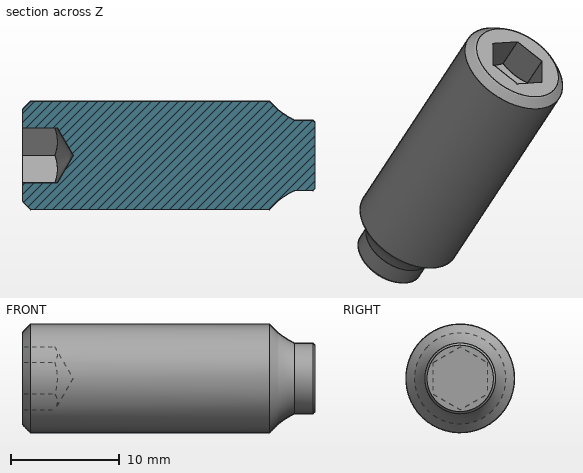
import cadquery as cq
import math

total_length = 26.9
body_radius = 10.0 / 2
thread_root_radius = 8.376 / 2
end_chamfer = 0.67
rim_width = 0.09
shoulder_start = 22.7
tip_radius = 6.5 / 2
tip_length = 1.9
tip_chamfer = 0.2
neck_hollow = 0.05
socket_across_flats = 5.0
socket_depth = 3.0
socket_floor_angle = 120.0

end_x = total_length / 2
start_x = -end_x
rim_radius = body_radius - end_chamfer
tip_start_x = end_x - tip_length
shoulder_start_x = start_x + shoulder_start
neck_start_x = shoulder_start_x + body_radius - thread_root_radius
socket_corner_radius = socket_across_flats / math.sqrt(3)


def neck_arc_middle():
    """Middle point of the concave neck arc, offset inward from its chord."""
    neck_run = tip_start_x - neck_start_x
    neck_drop = thread_root_radius - tip_radius
    chord = math.hypot(neck_run, neck_drop)
    middle_x = (neck_start_x + tip_start_x) / 2 - neck_hollow * neck_drop / chord
    middle_radius = (thread_root_radius + tip_radius) / 2 - neck_hollow * neck_run / chord
    return middle_x, middle_radius


def make_body():
    """Turned body: chamfered cylinder, concave neck and cylindrical tip."""
    profile = (
        cq.Workplane("XY")
        .moveTo(start_x, 0)
        .lineTo(start_x, thread_root_radius)
        .lineTo(start_x + rim_width, rim_radius)
        .lineTo(start_x + rim_width + end_chamfer, body_radius)
        .lineTo(shoulder_start_x, body_radius)
        .lineTo(neck_start_x, thread_root_radius)
        .threePointArc(neck_arc_middle(), (tip_start_x, tip_radius))
        .lineTo(end_x - tip_chamfer, tip_radius)
        .lineTo(end_x, tip_radius - tip_chamfer)
        .lineTo(end_x, 0)
        .close()
    )
    return profile.revolve(360, (0, 0, 0), (1, 0, 0))


def make_socket():
    """Hexagon socket with corners at +Z and -Z, ending in a conical floor."""
    cone_height = socket_corner_radius / math.tan(math.radians(socket_floor_angle / 2))
    floor_x = start_x + socket_depth
    cone_apex_x = floor_x + cone_height
    hexagon = (
        cq.Workplane("YZ", origin=(start_x, 0, 0))
        .transformed(rotate=(0, 0, 90))
        .polygon(6, 2 * socket_corner_radius)
        .extrude(socket_depth + cone_height)
    )
    pointed_cylinder = (
        cq.Workplane("XY")
        .moveTo(start_x, 0)
        .lineTo(start_x, socket_corner_radius)
        .lineTo(floor_x, socket_corner_radius)
        .lineTo(cone_apex_x, 0)
        .close()
        .revolve(360, (0, 0, 0), (1, 0, 0))
    )
    return hexagon.intersect(pointed_cylinder)


result = make_body().cut(make_socket())